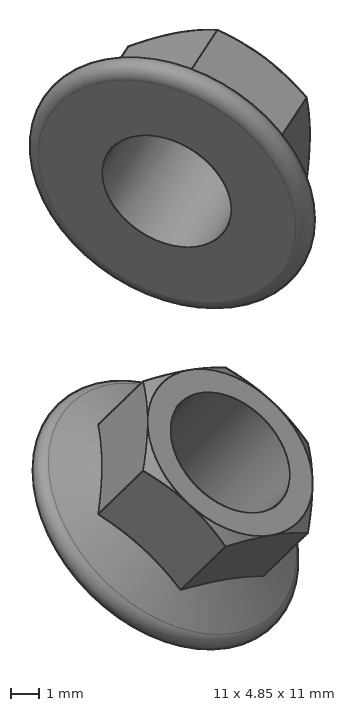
import cadquery as cq
import math

flange_diameter = 11.0
height = 4.85
bore_diameter = 5.0
hex_corners = 8.0
rim_thickness = 1.0
cone_angle = math.radians(25)
chamfer_angle = math.radians(30)

rim_radius = rim_thickness / 2
corner_radius = hex_corners / 2
flat_radius = corner_radius * math.cos(math.pi / 6)
rim_center = flange_diameter / 2 - rim_radius


def revolve_about_y(profile):
    return profile.close().revolve(360, (0, 0, 0), (0, 1, 0))


def rim_point(angle):
    """Point (radius, Y) on the rounded rim; angle 0 points outward."""
    return (
        rim_center + rim_radius * math.cos(angle),
        rim_radius + rim_radius * math.sin(angle),
    )


def make_flange():
    """Rounded rim running tangentially into a cone that ends inside the hex."""
    tangent_radius, tangent_y = rim_point(math.pi / 2 - cone_angle)
    inner_radius = (bore_diameter / 2 + flat_radius) / 2
    inner_y = tangent_y + (tangent_radius - inner_radius) * math.tan(cone_angle)
    profile = (
        cq.Workplane("XY")
        .lineTo(rim_center, 0)
        .threePointArc(rim_point(0), (tangent_radius, tangent_y))
        .lineTo(inner_radius, inner_y)
        .lineTo(0, inner_y)
    )
    return revolve_about_y(profile)


def make_hex():
    """Hexagonal prism whose far-end corners are trimmed by a cone."""
    corners = []
    for index in range(6):
        angle = math.pi / 2 + index * math.pi / 3
        corners.append((corner_radius * math.cos(angle), corner_radius * math.sin(angle)))
    prism = cq.Workplane("XZ").polyline(corners).close().extrude(-height)

    envelope_radius = flange_diameter / 2
    bevel_drop = (envelope_radius - flat_radius) * math.tan(chamfer_angle)
    envelope = (
        cq.Workplane("XY")
        .lineTo(envelope_radius, 0)
        .lineTo(envelope_radius, height - bevel_drop)
        .lineTo(flat_radius, height)
        .lineTo(0, height)
    )
    return prism.intersect(revolve_about_y(envelope))


bore = cq.Workplane("XZ").circle(bore_diameter / 2).extrude(-height)

result = make_flange().union(make_hex()).cut(bore)